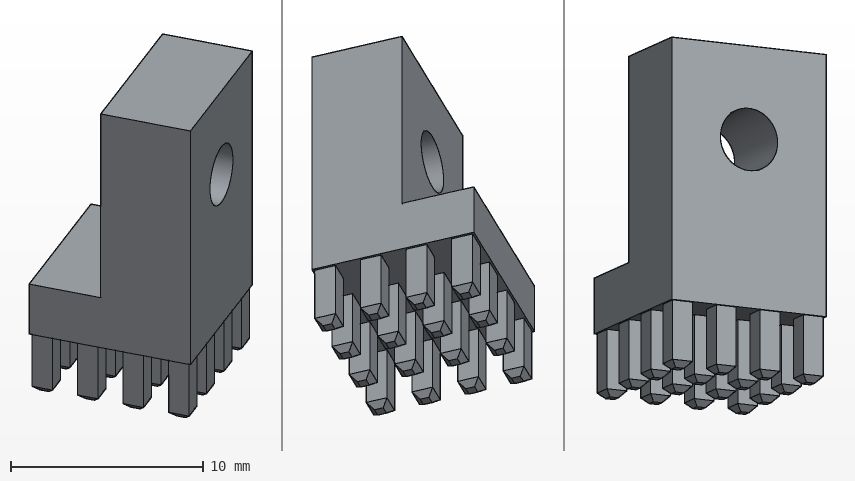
import cadquery as cq

block_side = 9.0
total_height = 17.5
pin_length = 3.5
foot_height = 3.0
wall_thickness = 5.0

hole_diameter = 3.32
hole_below_top = 5.0

pin_count = 4
pin_pitch = 2.54
pin_width = 1.15
tip_chamfer = 0.33

block_height = total_height - pin_length
half_side = block_side / 2
wall_face_x = half_side - wall_thickness


def make_block():
    """L-shaped block standing on Z = 0, with the wall on the +X side."""
    outline = [
        (-half_side, 0),
        (half_side, 0),
        (half_side, block_height),
        (wall_face_x, block_height),
        (wall_face_x, foot_height),
        (-half_side, foot_height),
    ]
    return (
        cq.Workplane("XZ", origin=(0, half_side, 0))
        .polyline(outline)
        .close()
        .extrude(block_side)
    )


def make_hole():
    """Cylinder along X that passes through the whole wall."""
    return (
        cq.Workplane("YZ", origin=(wall_face_x, 0, block_height - hole_below_top))
        .circle(hole_diameter / 2)
        .extrude(wall_thickness)
    )


def make_pins():
    """Full square grid of pins hanging below the block."""
    return (
        cq.Workplane("XY")
        .rarray(pin_pitch, pin_pitch, pin_count, pin_count)
        .rect(pin_width, pin_width)
        .extrude(-pin_length)
        .faces("<Z")
        .chamfer(tip_chamfer)
    )


result = make_block().cut(make_hole()).union(make_pins())